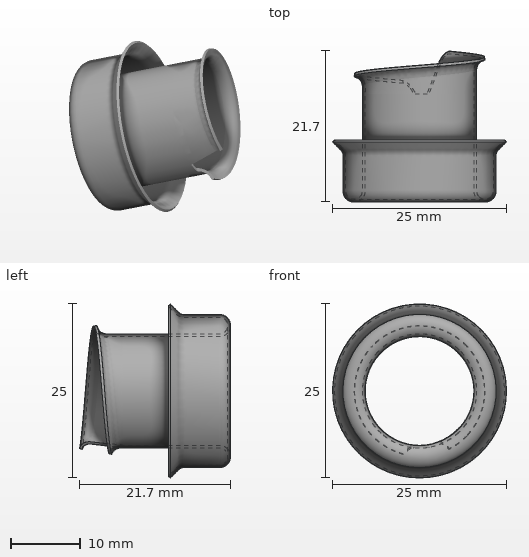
import cadquery as cq
import math


flange_radius = 24.97 / 2
tube_radius = 16.4 / 2
bore_radius = 15.6 / 2
skirt_radius = 22.0 / 2
wall = tube_radius - bore_radius

roll_radius = (skirt_radius - bore_radius) / 2
roll_centre = bore_radius + roll_radius

skirt_bend_radius = 1.0
skirt_lip_angle = math.radians(45)
skirt_length = 6.75

tube_length = 15.48
pitch = 4.77
sweep_angle = 355.0
screw_lip_radius = 9.4
screw_bend_radius = 1.4
screw_lip_angle = math.acos(1 - (screw_lip_radius - tube_radius) / screw_bend_radius)

slit_offset = 0.27
slit_half_width = 1.15
slit_rise_slope = 0.46
slit_radial_slope = 0.8
slit_inner_reach = 7.0
slit_outer_reach = 10.0
cut_height = 7.5


def add_flare(sketch, outer_radius, base, bend_radius, lip_angle, lip_length=0):
    """Extend a sketch from the outside of a wall, round its flare, to the inside of the wall."""
    sine = math.sin(lip_angle)
    cosine = math.cos(lip_angle)
    bend_centre = outer_radius + bend_radius
    inner_bend_radius = bend_radius + wall

    def on_bend(radius, angle):
        return (bend_centre - radius * math.cos(angle), base + radius * math.sin(angle))

    def along_lip(point):
        return (point[0] + lip_length * sine, point[1] + lip_length * cosine)

    outer_end = on_bend(bend_radius, lip_angle)
    inner_end = on_bend(inner_bend_radius, lip_angle)
    sketch = sketch.threePointArc(on_bend(bend_radius, lip_angle / 2), outer_end)
    if lip_length > 0:
        sketch = sketch.lineTo(*along_lip(outer_end))
    sketch = sketch.lineTo(*along_lip(inner_end))
    if lip_length > 0:
        sketch = sketch.lineTo(*inner_end)
    return sketch.threePointArc(on_bend(inner_bend_radius, lip_angle / 2), (outer_radius - wall, base))


def make_body():
    """Tube, rolled front end, skirt and skirt flange as one revolved section."""
    bend_growth = skirt_bend_radius * (1 - math.cos(skirt_lip_angle))
    lip_length = (flange_radius - skirt_radius - bend_growth) / math.sin(skirt_lip_angle)
    sketch = (
        cq.Workplane("XZ")
        .moveTo(bore_radius, tube_length)
        .lineTo(bore_radius, roll_radius)
        .threePointArc((roll_centre, 0), (skirt_radius, roll_radius))
        .lineTo(skirt_radius, skirt_length)
    )
    sketch = add_flare(
        sketch, skirt_radius, skirt_length, skirt_bend_radius, skirt_lip_angle, lip_length
    )
    return (
        sketch.lineTo(skirt_radius - wall, roll_radius)
        .threePointArc((roll_centre, wall), (tube_radius, roll_radius))
        .lineTo(tube_radius, tube_length)
        .close()
        .revolve(360, (0, 0, 0), (0, 1, 0))
    )


def make_screw_flare():
    """Wall and flare swept along one turn of a helix, kept above the tube."""
    root = tube_length - pitch
    sketch = cq.Workplane("XZ").moveTo(tube_radius, root).lineTo(tube_radius, tube_length)
    sketch = add_flare(sketch, tube_radius, tube_length, screw_bend_radius, screw_lip_angle)
    section = sketch.lineTo(bore_radius, root).close()
    turn = sweep_angle / 360
    helix = cq.Wire.makeHelix(pitch, pitch * turn, tube_radius, center=cq.Vector(0, 0, tube_length))
    swept = section.sweep(cq.Workplane(obj=helix), isFrenet=True)
    keep = cq.Workplane("XY", origin=(0, 0, tube_length)).circle(flange_radius).extrude(cut_height)
    return swept.intersect(keep).cut(make_slit())


def make_slit():
    """Wedge whose four-sided section grows from the tube end upward."""

    def corners(height):
        points = []
        for reach, side in (
            (slit_inner_reach, -1),
            (slit_outer_reach, -1),
            (slit_outer_reach, 1),
            (slit_inner_reach, 1),
        ):
            radial_growth = slit_radial_slope * (reach - tube_radius)
            half_width = slit_half_width + slit_rise_slope * height + radial_growth
            points.append((reach, side * half_width - slit_offset))
        return points

    return (
        cq.Workplane("XY", origin=(0, 0, tube_length))
        .polyline(corners(0))
        .close()
        .workplane(offset=cut_height)
        .polyline(corners(cut_height))
        .close()
        .loft(ruled=True)
    )


eyelet = make_body().union(make_screw_flare())

result = eyelet.rotate((0, 0, 0), (0, 0, 1), 90).rotate((0, 0, 0), (1, 0, 0), -90)